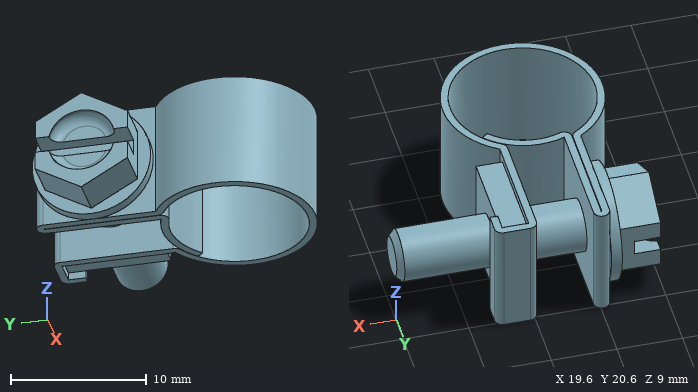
import cadquery as cq
import math


ring_outer_radius = 6.1
strip_thickness = 0.6
strip_width = 9.0
fold_gap = 0.05
leg_outer_x = 3.08
hook_tip_y = 12.52
tongue_end_angle = 42.8
overall_length = 20.55

ring_inner_radius = ring_outer_radius - strip_thickness
leg_inner_x = leg_outer_x - strip_thickness
band_top_y = overall_length - ring_outer_radius

flange_diameter = strip_width
flange_thickness = 0.82
head_height = 3.19
head_across_flats = 7.01
shank_diameter = 4.0
screw_tip_x = 12.52
tip_chamfer = 0.5
slot_width = 1.2
slot_depth = 2.0
recess_diameter = 5.04
recess_depth = 1.0
recess_fillet = 0.8

screw_y = band_top_y - flange_diameter / 2
flange_seat_x = -leg_outer_x
head_base_x = flange_seat_x - flange_thickness
head_end_x = head_base_x - head_height

nut_thickness = 2.01
nut_side = flange_diameter - 2 * strip_thickness


def polar(center, radius, degrees):
    """Point at a distance and direction from a center."""
    angle = math.radians(degrees)
    return (center[0] + radius * math.cos(angle), center[1] + radius * math.sin(angle))


def disc(diameter, x_start, x_end):
    """Cylinder on the screw axis between two X positions."""
    plane = cq.Workplane("YZ", origin=(x_start, screw_y, 0))
    return plane.circle(diameter / 2).extrude(x_end - x_start)


def make_band():
    """One bent strip: hook, leg, ring, leg folded back on itself, and tongue under the gap."""
    t = strip_thickness
    origin = (0, 0)

    leg_corner_y = math.sqrt(ring_outer_radius**2 - leg_outer_x**2)
    right_corner = (leg_outer_x, leg_corner_y)
    left_corner = (-leg_outer_x, leg_corner_y)
    leg_angle = math.degrees(math.atan2(leg_corner_y, leg_outer_x))

    fold_outer_x = -leg_inner_x + fold_gap
    fold_inner_x = fold_outer_x + t
    fold_radius = (fold_inner_x + leg_outer_x) / 2
    fold_center = (-leg_outer_x + fold_radius, band_top_y - fold_radius)
    tongue_outer_radius = ring_inner_radius - fold_gap
    tongue_inner_radius = tongue_outer_radius - t
    tongue_corner = (fold_inner_x, math.sqrt(tongue_outer_radius**2 - fold_inner_x**2))
    tongue_angle = math.degrees(math.atan2(tongue_corner[1], fold_inner_x))
    tongue_mid_angle = (tongue_angle + tongue_end_angle) / 2

    hook_inner_x = leg_outer_x + nut_thickness
    hook_inner_y = band_top_y - t
    hook_corner = (hook_inner_x, hook_inner_y)
    top_corner = (leg_outer_x, hook_inner_y)

    outline = (
        cq.Workplane("XY", origin=(0, 0, -strip_width / 2))
        .moveTo(hook_inner_x, hook_tip_y)
        .lineTo(*hook_corner)
        .lineTo(*top_corner)
        .lineTo(*right_corner)
        .threePointArc((0, -ring_outer_radius), left_corner)
        .lineTo(-leg_outer_x, fold_center[1])
        .threePointArc(polar(fold_center, fold_radius, 90), polar(fold_center, fold_radius, 0))
        .lineTo(*tongue_corner)
        .threePointArc(
            polar(origin, tongue_outer_radius, tongue_mid_angle),
            polar(origin, tongue_outer_radius, tongue_end_angle),
        )
        .lineTo(*polar(origin, tongue_inner_radius, tongue_end_angle))
        .threePointArc(
            polar(origin, tongue_inner_radius, tongue_mid_angle),
            polar(origin, tongue_inner_radius, tongue_angle),
        )
        .threePointArc(
            polar(tongue_corner, t, (tongue_angle + 360) / 2),
            (fold_outer_x, tongue_corner[1]),
        )
        .lineTo(fold_outer_x, hook_inner_y)
        .lineTo(-leg_inner_x, hook_inner_y)
        .lineTo(-leg_inner_x, leg_corner_y)
        .threePointArc(
            polar(left_corner, t, -leg_angle / 2),
            polar(origin, ring_inner_radius, 180 - leg_angle),
        )
        .threePointArc((0, -ring_inner_radius), polar(origin, ring_inner_radius, leg_angle))
        .threePointArc(
            polar(right_corner, t, 180 + leg_angle / 2),
            (leg_inner_x, leg_corner_y),
        )
        .lineTo(leg_inner_x, hook_inner_y)
        .threePointArc(polar(top_corner, t, 135), (leg_outer_x, band_top_y))
        .lineTo(hook_inner_x, band_top_y)
        .threePointArc(polar(hook_corner, t, 45), (hook_inner_x + t, hook_inner_y))
        .lineTo(hook_inner_x + t, hook_tip_y)
        .close()
    )
    screw_hole = disc(shank_diameter, -leg_outer_x, leg_outer_x)
    return outline.extrude(strip_width).cut(screw_hole)


def make_screw():
    """Hex head with slot and round recess, flange, and a shank with a chamfered tip."""
    head = (
        cq.Workplane("YZ", origin=(head_end_x, screw_y, 0))
        .polygon(6, head_across_flats, circumscribed=True)
        .extrude(head_height)
    )
    flange = disc(flange_diameter, head_base_x, flange_seat_x)
    shank = disc(shank_diameter, flange_seat_x, screw_tip_x).faces(">X").chamfer(tip_chamfer)
    recess = disc(recess_diameter, head_end_x, head_end_x + recess_depth)
    recess = recess.faces(">X").edges().fillet(recess_fillet)
    slot = cq.Workplane("XY").box(slot_depth, flange_diameter, slot_width)
    slot = slot.translate((head_end_x + slot_depth / 2, screw_y, 0))
    return head.union(flange).union(shank).cut(recess).cut(slot)


def make_nut():
    """Square nut lying against the leg, with a through hole for the shank."""
    block = cq.Workplane("XY").box(nut_thickness, nut_side, nut_side)
    block = block.translate((leg_outer_x + nut_thickness / 2, screw_y, 0))
    return block.cut(disc(shank_diameter, leg_outer_x, leg_outer_x + nut_thickness))


band = make_band()
screw = make_screw()
nut = make_nut()

result = cq.Compound.makeCompound([band.solids().val(), screw.solids().val(), nut.solids().val()])